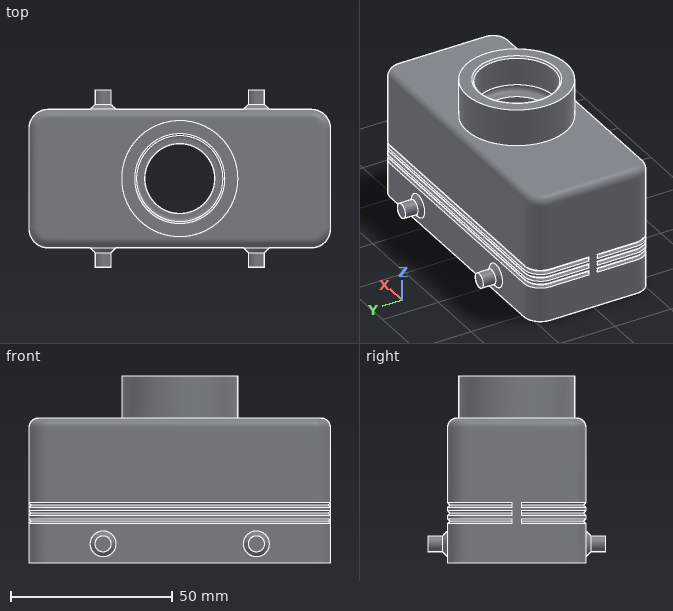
import cadquery as cq

body_length = 93.5
body_width = 43.0
body_height = 45.0
corner_radius = 6.0
top_edge_radius = 3.0
wall_thickness = 3.0

entry_diameter = 36.0
total_height = 58.0
bore_diameter = 26.7
bore_chamfer = 0.6
bore_floor_height = body_height
relief_diameter = 28.0
relief_height = 2.8
relief_floor_radius = 1.7
passage_diameter = 21.6

groove_width = 1.5
groove_depth = groove_width / 2
groove_pitch = 2.5
groove_count = 3
lowest_groove_height = 13.0
groove_gap = 3.0

pin_span = 55.0
pin_diameter = 5.0
pin_spacing = 47.5
pin_height = 6.0
pin_collar_diameter = 8.0
pin_collar_length = (pin_collar_diameter - pin_diameter) / 2


def rounded_block(length, width, height, radius):
    """Block standing on Z = 0 with rounded vertical corners."""
    block = cq.Workplane("XY").box(length, width, height, centered=(True, True, False))
    return block.edges("|Z").fillet(radius)


def make_body():
    """Solid hood block with a rounded top edge."""
    block = rounded_block(body_length, body_width, body_height, corner_radius)
    return block.faces(">Z").edges().fillet(top_edge_radius)


def make_cavity():
    """Interior space, open at the bottom."""
    return rounded_block(
        body_length - 2 * wall_thickness,
        body_width - 2 * wall_thickness,
        body_height - wall_thickness,
        corner_radius - wall_thickness,
    )


def make_entry():
    """Cylindrical collar standing on the top of the body."""
    base = cq.Workplane("XY").workplane(offset=body_height)
    return base.circle(entry_diameter / 2).extrude(total_height - body_height)


def make_bore():
    """Cutter for the chamfered bore, its wider relief with a rounded floor, and the cavity passage."""
    bore_radius = bore_diameter / 2
    relief_base = cq.Workplane("XY").workplane(offset=bore_floor_height)
    relief = relief_base.circle(relief_diameter / 2).extrude(relief_height)
    relief = relief.faces("<Z").edges().fillet(relief_floor_radius)
    bore_start = bore_floor_height + relief_floor_radius
    bore_base = cq.Workplane("XY").workplane(offset=bore_start)
    bore = bore_base.circle(bore_radius).extrude(total_height - bore_start)
    mouth_base = cq.Vector(0, 0, total_height - bore_chamfer)
    mouth = cq.Solid.makeCone(bore_radius, bore_radius + bore_chamfer, bore_chamfer, mouth_base)
    passage = cq.Workplane("XY").circle(passage_diameter / 2).extrude(total_height)
    return passage.union(bore).union(relief).union(cq.Workplane(mouth))


def make_groove(height):
    """Cutter for a V groove around the body, interrupted at the middle of both end faces."""
    block = rounded_block(body_length, body_width, body_height, corner_radius)
    outline = block.faces("<Z").wires().val().moved(cq.Location(cq.Vector(0, 0, height)))
    diamond = (
        cq.Workplane("YZ", origin=(0, -body_width / 2, height))
        .moveTo(0, -groove_width / 2)
        .lineTo(groove_depth, 0)
        .lineTo(0, groove_width / 2)
        .lineTo(-groove_depth, 0)
        .close()
    )
    ring = diamond.sweep(cq.Workplane(outline))
    gap = cq.Workplane("XY").workplane(offset=height).box(2 * body_length, groove_gap, 2 * groove_width)
    return ring.cut(gap)


def make_pin(x, side):
    """Locking pin with a conical collar; side is -1 or +1 along Y."""
    outward = cq.Vector(0, side, 0)
    face_point = cq.Vector(x, side * body_width / 2, pin_height)
    root_point = cq.Vector(x, side * (body_width / 2 - wall_thickness / 2), pin_height)
    pin_radius = pin_diameter / 2
    collar_radius = pin_collar_diameter / 2
    collar = cq.Solid.makeCone(collar_radius, pin_radius, pin_collar_length, face_point, outward)
    shaft_length = pin_span / 2 - abs(root_point.y)
    shaft = cq.Solid.makeCylinder(pin_radius, shaft_length, root_point, outward)
    return cq.Workplane(shaft).union(cq.Workplane(collar))


result = make_body().union(make_entry()).cut(make_cavity())
for pin_x in (-pin_spacing / 2, pin_spacing / 2):
    for pin_side in (-1, 1):
        result = result.union(make_pin(pin_x, pin_side))
result = result.cut(make_bore())
for groove_index in range(groove_count):
    result = result.cut(make_groove(lowest_groove_height + groove_index * groove_pitch))